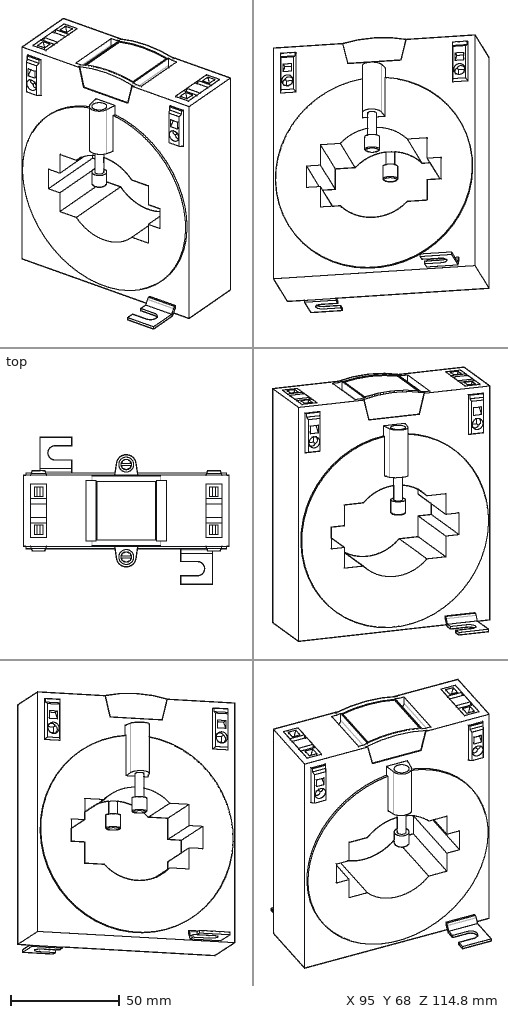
import cadquery as cq
import math

HOUSING_WIDTH = 95.0
HOUSING_DEPTH = 32.8
HOUSING_HEIGHT = 112.8
FACE_Y = HOUSING_DEPTH / 2

OPENING_Z = 48.5
PLATE_RADIUS = 46.4
PLATE_HEIGHT = 1.1
PLATE_Y = FACE_Y + PLATE_HEIGHT
OPENING_RADIUS = 21.9
OPENING_BARS = [(50.3, 30.4), (63.4, 10.5)]

ARCH_TOP = 114.8
ARCH_HALF_WIDTH = 15.8
ARCH_DEPTH = 31.9
ARCH_RISE = ARCH_TOP - HOUSING_HEIGHT
ARCH_RADIUS = (ARCH_HALF_WIDTH**2 + ARCH_RISE**2) / (2 * ARCH_RISE)
LABEL_RECESS = 0.5
LABEL_WIDTH = 27.0
LABEL_DEPTH = 26.9
SCOOP_RADIUS = 2.3
SCOOP_LENGTH = 28.0
SCOOP_WALL = 3.5
SCOOP_X = 16.3

TAB_TOP_HALF_WIDTH = 14.9
TAB_BOTTOM_HALF_WIDTH = 12.5
TAB_BOTTOM = 103.0
TAB_RECESS = (HOUSING_DEPTH - ARCH_DEPTH) / 2

SCREW_Y = 21.4
TOWER_TOP = 99.4
TOWER_TIP_BOTTOM = 76.6
TOWER_ROOT_BOTTOM = 75.3
TOWER_RADIUS = 4.6
TOWER_ROOT_HALF_WIDTH = 5.4
BORE_RADIUS = 3.5
BORE_FLOOR = 80.4

SHANK_RADIUS = 2.1
HEAD_RADIUS = 2.4
HEAD_HEIGHT = 2.3
SLOT_WIDTH = 0.8
SLOT_DEPTH = 0.6
SCREW_TIP = 59.7
CAP_RADIUS = 3.5
CAP_TOP = 64.5
CAP_BOTTOM = 58.0
CAP_CHAMFER = 0.5

TERMINAL_X = 40.5
TERMINAL_WIDTH = 7.5
TERMINAL_BOTTOM = 90.6
TERMINAL_TOP_DEPTH = 24.8
NOSE_TOP = 109.7
NOSE_REACH = 2.2
NOSE_TAPER = 0.8
NOSE_TIP_Y = FACE_Y + NOSE_REACH
NOSE_STEP_Y = FACE_Y + 0.9
NOSE_STEP_Z = 108.0
NOSE_TIP_TOP = 107.1

RELEASE_WIDTH = 3.9
RELEASE_BOTTOM = 100.2
RELEASE_TOP = 103.9
RELEASE_LENGTH = 3.8
WIRE_RADIUS = 2.6
WIRE_Z = 95.9
WIRE_ENTRY_DEPTH = 2.9
FUNNEL_END = 2.6
FUNNEL_DEPTH = 1.7
TEST_Y = 8.8
TEST_WIDTH = 3.9
TEST_LENGTH = 4.4
TEST_FLOOR_WIDTH = 1.5
TEST_DEPTH = 4.6
GROOVE_Y = 4.5
GROOVE_RADIUS = 1.3

FOOT_LEFT = 25.1
FOOT_RIGHT = 40.0
FOOT_END_Y = 34.0
FOOT_THICKNESS = 1.3
FOOT_UNDERSIDE = [(FOOT_END_Y, 0), (18.9, 0), (17.1, 2.6), (FACE_Y, 3.0)]
FOOT_TOPSIDE = [(FACE_Y, 4.4), (17.3, 4.4), (18.1, 3.6), (19.6, FOOT_THICKNESS), (FOOT_END_Y, FOOT_THICKNESS)]
FOOT_SLOT_WIDTH = 6.4
FOOT_SLOT_END = 36.2
FOOT_SLOT_Y = 26.7

HALF_TURNS = (0, 180)


def turned(shape, angle):
    return shape.rotate((0, 0, 0), (0, 0, 1), angle)


def box(width, depth, bottom, top):
    """Block centred on X and Y, between two heights."""
    return cq.Workplane().box(width, depth, top - bottom, (True, True, False)).translate((0, 0, bottom))


def rod(radius, y, bottom, top):
    """Upright cylinder at X = 0."""
    return cq.Workplane(origin=(0, y, bottom)).circle(radius).extrude(top - bottom)


def along_y(depth):
    """XZ sketch plane from which a positive extrusion of `depth` is centred on Y = 0."""
    return cq.Workplane("XZ", origin=(0, depth / 2, 0))


def across_x(width):
    """YZ sketch plane from which a positive extrusion of `width` is centred on X = 0."""
    return cq.Workplane("YZ", origin=(-width / 2, 0, 0))


def side_prism(points, width):
    """Outline of (y, z) points extruded along X, centred on X = 0."""
    return across_x(width).polyline(points).close().extrude(width)




def arch(radius, half_width, depth):
    """Region from just below the housing top up to an arc concentric with the label holder."""
    axis_z = ARCH_TOP - ARCH_RADIUS
    end_z = axis_z + math.sqrt(radius**2 - half_width**2)
    base_z = HOUSING_HEIGHT - ARCH_RISE
    return (
        along_y(depth)
        .moveTo(-half_width, base_z)
        .lineTo(-half_width, end_z)
        .threePointArc((0, axis_z + radius), (half_width, end_z))
        .lineTo(half_width, base_z)
        .close()
        .extrude(depth)
    )


def add_label_holder(body):
    """Add the arch, sink the label bed into it and cut a finger scoop along each side of the label."""
    body = body.union(arch(ARCH_RADIUS, ARCH_HALF_WIDTH, ARCH_DEPTH))
    above_label = box(LABEL_WIDTH, LABEL_DEPTH, HOUSING_HEIGHT - ARCH_RISE, ARCH_TOP)
    label_bed = arch(ARCH_RADIUS - LABEL_RECESS, ARCH_HALF_WIDTH, ARCH_DEPTH)
    body = body.cut(above_label.cut(label_bed))
    scoop_axis_z = HOUSING_HEIGHT - SCOOP_WALL
    scoop = along_y(SCOOP_LENGTH).center(0, scoop_axis_z).circle(SCOOP_RADIUS).extrude(SCOOP_LENGTH)
    scoop = scoop.union(box(2 * SCOOP_RADIUS, SCOOP_LENGTH, scoop_axis_z, ARCH_TOP))
    for x in (-SCOOP_X, SCOOP_X):
        body = body.cut(scoop.translate((x, 0, 0)))
    return body


def tab_recess():
    """Tapered recess in the -Y face, under the arch."""
    return (
        cq.Workplane("XZ", origin=(0, TAB_RECESS - FACE_Y, 0))
        .moveTo(-TAB_TOP_HALF_WIDTH, HOUSING_HEIGHT)
        .lineTo(TAB_TOP_HALF_WIDTH, HOUSING_HEIGHT)
        .lineTo(TAB_BOTTOM_HALF_WIDTH, TAB_BOTTOM)
        .lineTo(-TAB_BOTTOM_HALF_WIDTH, TAB_BOTTOM)
        .close()
        .extrude(TAB_RECESS)
    )


def screw_tower():
    """Tower on the -Y face: a round front with flanks tangent to it and a slanted underside."""
    root_distance = SCREW_Y - FACE_Y
    corner_distance = math.hypot(TOWER_ROOT_HALF_WIDTH, root_distance)
    corner_angle = math.atan2(root_distance, TOWER_ROOT_HALF_WIDTH)
    tangent_angle = corner_angle - math.acos(TOWER_RADIUS / corner_distance)
    tangent_x = TOWER_RADIUS * math.cos(tangent_angle)
    tangent_y = TOWER_RADIUS * math.sin(tangent_angle) - SCREW_Y
    tip_y = -SCREW_Y - TOWER_RADIUS
    tower = (
        cq.Workplane(origin=(0, 0, TOWER_ROOT_BOTTOM))
        .moveTo(-TOWER_ROOT_HALF_WIDTH, -FACE_Y)
        .lineTo(-tangent_x, tangent_y)
        .threePointArc((0, tip_y), (tangent_x, tangent_y))
        .lineTo(TOWER_ROOT_HALF_WIDTH, -FACE_Y)
        .close()
        .extrude(TOWER_TOP - TOWER_ROOT_BOTTOM)
    )
    underside = [(-FACE_Y, TOWER_ROOT_BOTTOM), (tip_y, TOWER_ROOT_BOTTOM), (tip_y, TOWER_TIP_BOTTOM)]
    return tower.cut(side_prism(underside, 2 * TOWER_ROOT_HALF_WIDTH))


def opening():
    """Busbar opening: a round hole crossed by two rectangular ones."""
    length = 2 * PLATE_Y
    sketch = along_y(length).center(0, OPENING_Z)
    cutter = sketch.circle(OPENING_RADIUS).extrude(length)
    for width, height in OPENING_BARS:
        cutter = cutter.union(sketch.rect(width, height).extrude(length))
    return cutter


def make_housing():
    body = box(HOUSING_WIDTH, HOUSING_DEPTH, 0, HOUSING_HEIGHT)
    body = add_label_holder(body)
    plates = along_y(2 * PLATE_Y).center(0, OPENING_Z).circle(PLATE_RADIUS).extrude(2 * PLATE_Y)
    body = body.union(plates)
    for angle in HALF_TURNS:
        body = body.cut(turned(tab_recess(), angle)).union(turned(screw_tower(), angle))
        body = body.cut(turned(rod(BORE_RADIUS, -SCREW_Y, BORE_FLOOR, TOWER_TOP), angle))
        body = body.cut(turned(rod(SHANK_RADIUS, -SCREW_Y, TOWER_ROOT_BOTTOM, BORE_FLOOR), angle))
    body = body.cut(opening())
    for x in (-TERMINAL_X, TERMINAL_X):
        body = body.cut(terminal_core().translate((x, 0, 0)))
    return body




def terminal_core():
    """The part of a terminal block that fills its pocket in the housing."""
    through = box(TERMINAL_WIDTH, HOUSING_DEPTH, TERMINAL_BOTTOM, NOSE_TOP)
    return through.union(box(TERMINAL_WIDTH, TERMINAL_TOP_DEPTH, TERMINAL_BOTTOM, HOUSING_HEIGHT))


def terminal_nose():
    """Nose on the -Y face, narrowing from its root to its tip."""
    profile = side_prism(
        [
            (-FACE_Y, TERMINAL_BOTTOM),
            (-NOSE_TIP_Y, TERMINAL_BOTTOM + NOSE_TAPER),
            (-NOSE_TIP_Y, NOSE_TIP_TOP),
            (-NOSE_STEP_Y, NOSE_STEP_Z),
            (-NOSE_STEP_Y, NOSE_TOP),
            (-FACE_Y, NOSE_TOP),
        ],
        TERMINAL_WIDTH,
    )
    root = TERMINAL_WIDTH / 2
    tip = root - NOSE_TAPER
    plan = (
        cq.Workplane(origin=(0, 0, TERMINAL_BOTTOM))
        .polyline([(-root, -FACE_Y), (-tip, -NOSE_TIP_Y), (tip, -NOSE_TIP_Y), (root, -FACE_Y)])
        .close()
        .extrude(NOSE_TOP - TERMINAL_BOTTOM)
    )
    return profile.intersect(plan)


def wire_entry():
    """Round hole into the -Y nose, ending in a square funnel."""
    funnel_y = WIRE_ENTRY_DEPTH - NOSE_TIP_Y
    end_y = funnel_y + FUNNEL_DEPTH
    straight = cq.Workplane("XZ", origin=(0, funnel_y, WIRE_Z)).circle(WIRE_RADIUS).extrude(WIRE_ENTRY_DEPTH)
    envelope = cq.Workplane("XZ", origin=(0, end_y, WIRE_Z)).circle(WIRE_RADIUS).extrude(FUNNEL_DEPTH)
    funnel = (
        cq.Workplane("XZ", origin=(0, end_y, WIRE_Z))
        .rect(FUNNEL_END, FUNNEL_END)
        .workplane(offset=FUNNEL_DEPTH)
        .rect(2 * WIRE_RADIUS, 2 * WIRE_RADIUS)
        .loft()
    )
    return straight.union(funnel.intersect(envelope))


def release_pocket():
    """Pocket in the -Y nose whose floor rises inwards up to its ceiling."""
    end_y = RELEASE_LENGTH - NOSE_TIP_Y
    outline = [(-NOSE_TIP_Y, RELEASE_BOTTOM), (-NOSE_TIP_Y, RELEASE_TOP), (end_y, RELEASE_TOP)]
    return side_prism(outline, RELEASE_WIDTH)


def test_pocket():
    """Trough in the top face with side walls that slant towards a narrow floor."""
    rim = TEST_WIDTH / 2
    floor = TEST_FLOOR_WIDTH / 2
    floor_z = HOUSING_HEIGHT - TEST_DEPTH
    return (
        along_y(TEST_LENGTH)
        .polyline([(-rim, HOUSING_HEIGHT), (-floor, floor_z), (floor, floor_z), (rim, HOUSING_HEIGHT)])
        .close()
        .extrude(TEST_LENGTH)
        .translate((0, -TEST_Y, 0))
    )


def make_terminal(x):
    block = terminal_core()
    groove_end = across_x(TERMINAL_WIDTH).center(-GROOVE_Y, HOUSING_HEIGHT).circle(GROOVE_RADIUS)
    groove = groove_end.extrude(TERMINAL_WIDTH)
    for angle in HALF_TURNS:
        block = block.union(turned(terminal_nose(), angle))
        for cutter in (wire_entry(), release_pocket(), test_pocket(), groove):
            block = block.cut(turned(cutter, angle))
    return block.translate((x, 0, 0))




def make_screw(angle):
    head_top = BORE_FLOOR + HEAD_HEIGHT
    screw = rod(SHANK_RADIUS, -SCREW_Y, SCREW_TIP, BORE_FLOOR)
    screw = screw.union(rod(HEAD_RADIUS, -SCREW_Y, BORE_FLOOR, head_top))
    slot = box(2 * HEAD_RADIUS, SLOT_WIDTH, head_top - SLOT_DEPTH, head_top)
    return turned(screw.cut(slot.translate((0, -SCREW_Y, 0))), angle)


def make_cap(angle):
    cap = rod(CAP_RADIUS, -SCREW_Y, CAP_BOTTOM, CAP_TOP).faces("<Z").chamfer(CAP_CHAMFER)
    return turned(cap.cut(rod(SHANK_RADIUS, -SCREW_Y, SCREW_TIP, CAP_TOP)), angle)


def make_foot(angle):
    """Foot at the -Y face: a flat with an open slot, bent up to meet the housing."""
    foot = (
        cq.Workplane("YZ", origin=(FOOT_LEFT, 0, 0))
        .polyline([(-y, z) for y, z in FOOT_UNDERSIDE + FOOT_TOPSIDE])
        .close()
        .extrude(FOOT_RIGHT - FOOT_LEFT)
    )
    slot_radius = FOOT_SLOT_WIDTH / 2
    arc_x = FOOT_SLOT_END - slot_radius
    slot = (
        cq.Workplane()
        .moveTo(FOOT_LEFT, -FOOT_SLOT_Y - slot_radius)
        .lineTo(arc_x, -FOOT_SLOT_Y - slot_radius)
        .threePointArc((FOOT_SLOT_END, -FOOT_SLOT_Y), (arc_x, -FOOT_SLOT_Y + slot_radius))
        .lineTo(FOOT_LEFT, -FOOT_SLOT_Y + slot_radius)
        .close()
        .extrude(FOOT_THICKNESS)
    )
    return turned(foot.cut(slot), angle)


housing = make_housing()
terminals = [make_terminal(x).val() for x in (-TERMINAL_X, TERMINAL_X)]
screws = [make_screw(angle).val() for angle in HALF_TURNS]
caps = [make_cap(angle).val() for angle in HALF_TURNS]
feet = [make_foot(angle).val() for angle in HALF_TURNS]
result = cq.Compound.makeCompound([housing.val(), *terminals, *screws, *caps, *feet])